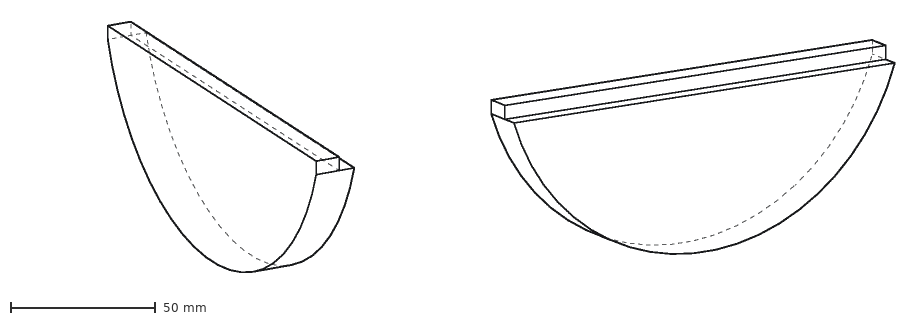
import cadquery as cq

width = 155.0
thickness = 14.9
height = 61.7
lip_height = 5.0
lip_thickness = 9.0

half_width = width / 2
body_height = height - lip_height

body = (
    cq.Workplane("XZ")
    .moveTo(-half_width, 0)
    .threePointArc((0, -body_height), (half_width, 0))
    .close()
    .extrude(-thickness)
)

lip = cq.Workplane("XY").box(width, lip_thickness, lip_height, centered=(True, False, False))

result = body.union(lip)